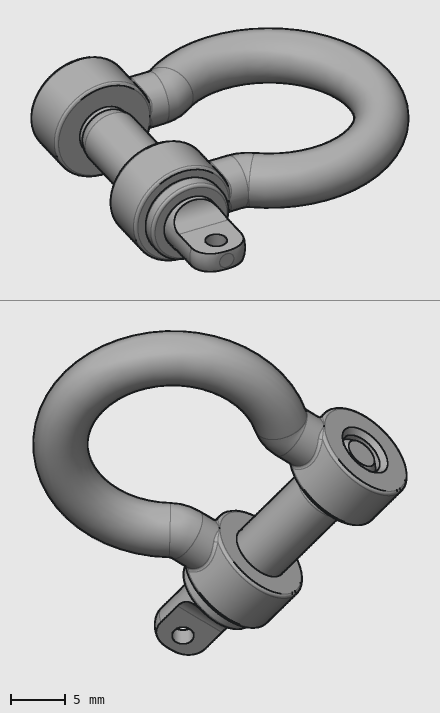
import cadquery as cq
import math

overall_length = 32.0
overall_width = 31.5
rod_diameter = 5.0
bow_radius = 10.25
eye_diameter = 2 * rod_diameter
eye_gap = 10.53
eye_edge_radius = 0.3
bend_radius = 2.53
seam_radius = 0.32

pin_diameter = 5.5
thread_diameter = 5.0
tip_diameter = 4.22
tip_face_diameter = 2.98
tip_recess = 0.5
countersink_diameter = 5.25
countersink_depth = 0.5
shoulder_length = 0.5
run_out_length = 1.0

collar_diameter = 8.0
collar_thickness = 1.5
collar_edge_radius = 0.3

tab_thickness = 2.0
tab_blend_radius = 2.0
tab_flat_length = 4.5
tab_corner_radius = 2.0
tab_hole_diameter = 2.0

rod_radius = rod_diameter / 2
eye_radius = eye_diameter / 2
eye_width = rod_diameter
eye_center_x = (eye_gap + eye_width) / 2
eye_inner_x = eye_gap / 2
eye_outer_x = eye_inner_x + eye_width
bow_half_width = bow_radius + rod_radius
bow_center_y = overall_length - eye_radius - bow_half_width

bend_axis_x = eye_center_x + bend_radius
bend_angle = math.degrees(math.acos(bend_axis_x / (bow_radius + bend_radius)))
bend_axis_y = bow_center_y - bend_axis_x * math.tan(math.radians(bend_angle))

step_height = (pin_diameter - thread_diameter) / 2
run_out_radius = (run_out_length**2 + step_height**2) / (2 * step_height)

pin_end_x = overall_width - bow_half_width
flat_start_x = pin_end_x - tab_flat_length
tip_chamfer_length = (tip_diameter - tip_face_diameter) / 2
tip_face_x = -eye_outer_x + tip_recess
shoulder_end_x = -eye_inner_x + shoulder_length
hole_center_x = pin_end_x - tab_corner_radius


def cylinder_along_x(diameter, start_x, end_x):
    """Round bar on the pin axis between two X stations."""
    return cq.Workplane("YZ", origin=(start_x, 0, 0)).circle(diameter / 2).extrude(end_x - start_x)


def make_bow():
    """Round bar bent about the bow centre, from one reverse bend to the other."""
    return (
        cq.Workplane("XZ", origin=(0, bow_center_y, 0))
        .center(bow_radius, 0)
        .circle(rod_radius)
        .revolve(180 + 2 * bend_angle, (-bow_radius, 0), (-bow_radius, 1))
        .rotate((0, bow_center_y, 0), (0, bow_center_y, 1), -bend_angle)
    )


def make_bend():
    """Reverse bend that turns the +X end of the bow parallel to Y."""
    return (
        cq.Workplane("XZ", origin=(eye_center_x, bend_axis_y, 0))
        .circle(rod_radius)
        .revolve(bend_angle, (bend_radius, 0), (bend_radius, -1))
    )


def make_leg():
    """Straight end of the +X leg, saddle-cut just inside the eye's rounded edges."""
    saddle_diameter = eye_diameter - 2 * eye_edge_radius
    saddle = cylinder_along_x(saddle_diameter, 0, eye_outer_x + rod_diameter)
    bar = (
        cq.Workplane("XZ", origin=(eye_center_x, bend_axis_y, 0))
        .circle(rod_radius)
        .extrude(bend_axis_y)
    )
    return bar.cut(saddle)


def make_arm():
    """Eye, leg and reverse bend on the +X side, still without the bore."""
    eye = cylinder_along_x(eye_diameter, eye_inner_x, eye_outer_x).edges().fillet(eye_edge_radius)
    arm = eye.union(make_leg())
    return arm.edges("%BSPLINE").fillet(seam_radius).union(make_bend())


def make_countersink():
    """Cone that opens the threaded eye's bore at its outer face."""
    return (
        cq.Workplane("YZ", origin=(-eye_outer_x, 0, 0))
        .circle(countersink_diameter / 2)
        .workplane(offset=countersink_depth)
        .circle(tip_diameter / 2)
        .loft()
    )


def make_shackle():
    """Bow with two eyes: a plain bore on +X, a smaller countersunk bore on -X."""
    right_arm = make_arm()
    left_arm = right_arm.mirror("YZ")
    body = make_bow().union(right_arm).union(left_arm)
    body = body.cut(cylinder_along_x(pin_diameter, eye_inner_x, eye_outer_x))
    body = body.cut(cylinder_along_x(tip_diameter, -eye_outer_x, -eye_inner_x))
    return body.cut(make_countersink())


def make_pin_bar():
    """Turned pin: chamfered tip, thread shoulder, rounded step and full-diameter bar."""
    pin_radius = pin_diameter / 2
    return (
        cq.Workplane("XY")
        .moveTo(tip_face_x, 0)
        .lineTo(tip_face_x, tip_face_diameter / 2)
        .lineTo(tip_face_x + tip_chamfer_length, tip_diameter / 2)
        .lineTo(-eye_inner_x, tip_diameter / 2)
        .lineTo(-eye_inner_x, thread_diameter / 2)
        .lineTo(shoulder_end_x, thread_diameter / 2)
        .radiusArc((shoulder_end_x + run_out_length, pin_radius), run_out_radius)
        .lineTo(pin_end_x, pin_radius)
        .lineTo(pin_end_x, 0)
        .close()
        .revolve(360, (0, 0), (1, 0))
    )


def make_collar():
    """Stop ring that rests on the outer face of the +X eye."""
    collar = cylinder_along_x(collar_diameter, eye_outer_x, eye_outer_x + collar_thickness)
    return collar.edges().fillet(collar_edge_radius)


def make_flat_cutter():
    """Material above the tab: a flat that sweeps up in a concave arc towards the collar."""
    flat_z = tab_thickness / 2
    return (
        cq.Workplane("XZ", origin=(0, pin_diameter, 0))
        .moveTo(pin_end_x, flat_z)
        .lineTo(flat_start_x, flat_z)
        .radiusArc((flat_start_x - tab_blend_radius, flat_z + tab_blend_radius), tab_blend_radius)
        .lineTo(pin_end_x, flat_z + tab_blend_radius)
        .close()
        .extrude(2 * pin_diameter)
    )


def make_pin():
    """Pin with a flattened, rounded and drilled tab on its +X end."""
    upper_cutter = make_flat_cutter()
    bar = make_pin_bar().edges(">X").fillet(tab_corner_radius)
    bar = bar.cut(upper_cutter).cut(upper_cutter.mirror("XY"))
    hole = (
        cq.Workplane("XY", origin=(hole_center_x, 0, -tab_thickness / 2))
        .circle(tab_hole_diameter / 2)
        .extrude(tab_thickness)
    )
    return bar.cut(hole).union(make_collar())


shackle = make_shackle()
pin = make_pin()
result = cq.Compound.makeCompound([shackle.solids().val(), pin.solids().val()])